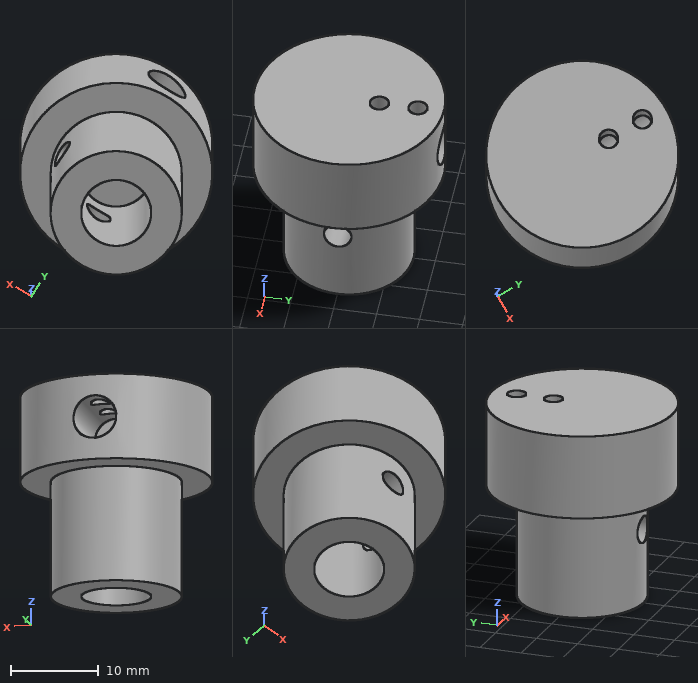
import cadquery as cq

total_height = 23.5
head_diameter = 22.0
head_height = 10.0
stem_diameter = 15.0
stem_height = total_height - head_height

bore_diameter = 8.0
bore_depth = stem_height

pin_hole_diameter = 2.16
pin_hole_positions = [(0, 3.5), (0, 8.0)]
pin_hole_depth = head_height / 2

screw_hole_diameter = 3.2
screw_hole_height = 9.0

cross_hole_diameter = 5.0
cross_hole_height = stem_height + head_height / 2


def radial_hole(direction, height, diameter, outer_radius):
    """Cylinder running from the part axis out through the side."""
    start = cq.Vector(0, 0, height)
    cylinder = cq.Solid.makeCylinder(diameter / 2, outer_radius, start, cq.Vector(*direction))
    return cq.Workplane(cylinder)


stem = cq.Workplane("XY").circle(stem_diameter / 2).extrude(stem_height)
head = (
    cq.Workplane("XY")
    .workplane(offset=stem_height)
    .circle(head_diameter / 2)
    .extrude(head_height)
)
body = stem.union(head)

bore = cq.Workplane("XY").circle(bore_diameter / 2).extrude(bore_depth)
body = body.cut(bore)

pin_holes = (
    cq.Workplane("XY")
    .workplane(offset=total_height - pin_hole_depth)
    .pushPoints(pin_hole_positions)
    .circle(pin_hole_diameter / 2)
    .extrude(pin_hole_depth)
)
body = body.cut(pin_holes)

for direction in [(0, -1, 0), (1, 0, 0)]:
    body = body.cut(radial_hole(direction, screw_hole_height, screw_hole_diameter, stem_diameter / 2))

result = body.cut(radial_hole((0, 1, 0), cross_hole_height, cross_hole_diameter, head_diameter / 2))